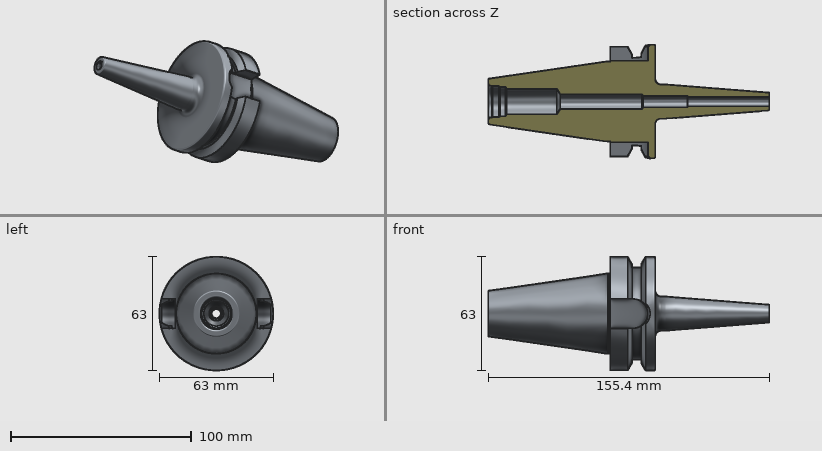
import cadquery as cq
import math


GAUGE_RADIUS = 44.45 / 2
TAPER_LENGTH = 65.4
TAPER_SLOPE = 7 / 48
SHANK_END_FILLET = 0.8

COLLAR_END = 0.8
RELIEF_RADIUS = 22.1
RELIEF_END = 1.5

FLANGE_RADIUS = 31.5
FLANGE_START = 2.0
FLANGE_END = 27.0
FLANGE_FILLET = 1.0
GROOVE_CENTER = 16.6
GROOVE_MOUTH_WIDTH = 9.9
GROOVE_FLOOR_WIDTH = 5.0
GROOVE_FLOOR_RADIUS = 25.6
GROOVE_WALL_ANGLE = 30.0

NECK_RADIUS = 9.55
NECK_FILLET = 3.0
NECK_END = 32.5
NOSE_END = 90.0
NOSE_TIP_RADIUS = 5.0
NOSE_FILLET = 0.6

SLOT_WIDTH = 16.2
SLOT_FLOOR = 22.6
SLOT_END = 22.8
SLOT_CHAMFER_START = 30.2

MOUTH_FILLET = 1.4
MOUTH_RADIUS = 8.7
MOUTH_DEPTH = 2.1
COUNTERBORE_RADIUS = 8.5
COUNTERBORE_DEPTH = 5.8
PILOT_RADIUS = 8.0
PILOT_DEPTH = 9.5
THREAD_RADIUS = 6.9
THREAD_DEPTH = 38.0
DRILL_HALF_ANGLE = 59.0
STEP_HALF_ANGLE = 30.0
CHANNEL_RADIUS = 4.0
CHANNEL_DEPTH = 85.0
SCREW_RADIUS = 3.0
SCREW_DEPTH = 110.0
THROUGH_RADIUS = 2.5


def make_body():
    """Revolve the outer profile, without the key slots and the bore."""
    groove_mouth_left = GROOVE_CENTER - GROOVE_MOUTH_WIDTH / 2
    groove_mouth_right = GROOVE_CENTER + GROOVE_MOUTH_WIDTH / 2
    groove_floor_left = GROOVE_CENTER - GROOVE_FLOOR_WIDTH / 2
    groove_floor_right = GROOVE_CENTER + GROOVE_FLOOR_WIDTH / 2
    wall_run = (GROOVE_MOUTH_WIDTH - GROOVE_FLOOR_WIDTH) / 2
    wall_foot = FLANGE_RADIUS - wall_run / math.tan(math.radians(GROOVE_WALL_ANGLE))
    shank_end_radius = GAUGE_RADIUS - TAPER_SLOPE * TAPER_LENGTH
    fillet_center = (FLANGE_END + NECK_FILLET, NECK_RADIUS + NECK_FILLET)
    fillet_reach = NECK_FILLET * math.sqrt(0.5)

    profile = (
        cq.Workplane("XY")
        .moveTo(-TAPER_LENGTH, 0)
        .lineTo(-TAPER_LENGTH, shank_end_radius)
        .lineTo(0, GAUGE_RADIUS)
        .lineTo(COLLAR_END, GAUGE_RADIUS)
        .lineTo(COLLAR_END, RELIEF_RADIUS)
        .lineTo(RELIEF_END, RELIEF_RADIUS)
        .lineTo(RELIEF_END, GAUGE_RADIUS)
        .lineTo(FLANGE_START, GAUGE_RADIUS)
        .lineTo(FLANGE_START, FLANGE_RADIUS)
        .lineTo(groove_mouth_left, FLANGE_RADIUS)
        .lineTo(groove_floor_left, wall_foot)
        .lineTo(groove_floor_left, GROOVE_FLOOR_RADIUS)
        .lineTo(groove_floor_right, GROOVE_FLOOR_RADIUS)
        .lineTo(groove_floor_right, wall_foot)
        .lineTo(groove_mouth_right, FLANGE_RADIUS)
        .lineTo(FLANGE_END, FLANGE_RADIUS)
        .lineTo(FLANGE_END, NECK_RADIUS + NECK_FILLET)
        .threePointArc(
            (fillet_center[0] - fillet_reach, fillet_center[1] - fillet_reach),
            (FLANGE_END + NECK_FILLET, NECK_RADIUS),
        )
        .lineTo(NECK_END, NECK_RADIUS)
        .lineTo(NOSE_END, NOSE_TIP_RADIUS)
        .lineTo(NOSE_END, 0)
        .close()
    )
    return profile.revolve(360, (0, 0, 0), (1, 0, 0))


def round_outer_edge(body, x, radius, fillet):
    """Fillet the circular edge of the given radius in the plane at x."""
    reach = 0.1
    edge_box = cq.selectors.BoxSelector(
        (x - reach, -radius - reach, -radius - reach),
        (x + reach, radius + reach, radius + reach),
        boundingbox=True,
    )
    outermost = cq.selectors.RadiusNthSelector(-1)
    return body.newObject(body.edges(edge_box).edges(outermost).vals()).fillet(fillet)


def make_drive_slot():
    """Round-ended slot on the +Y side, its mouth widened by a 45 degree chamfer."""
    half_width = SLOT_WIDTH / 2
    arc_center = SLOT_END - half_width
    slot_depth = FLANGE_RADIUS - SLOT_FLOOR
    chamfer_depth = FLANGE_RADIUS - SLOT_CHAMFER_START

    slot = (
        cq.Workplane("XZ", origin=(0, SLOT_FLOOR, 0))
        .moveTo(0, -half_width)
        .lineTo(arc_center, -half_width)
        .threePointArc((SLOT_END, 0), (arc_center, half_width))
        .lineTo(0, half_width)
        .close()
        .extrude(-slot_depth)
    )
    straight_chamfer = (
        cq.Workplane("YZ")
        .moveTo(SLOT_CHAMFER_START, -half_width)
        .lineTo(FLANGE_RADIUS, -half_width - chamfer_depth)
        .lineTo(FLANGE_RADIUS, half_width + chamfer_depth)
        .lineTo(SLOT_CHAMFER_START, half_width)
        .close()
        .extrude(arc_center)
    )
    end_chamfer = cq.Workplane(
        cq.Solid.makeCone(
            half_width,
            half_width + chamfer_depth,
            chamfer_depth,
            pnt=(arc_center, SLOT_CHAMFER_START, 0),
            dir=(0, 1, 0),
        )
    )
    return slot.union(straight_chamfer).union(end_chamfer)


def make_bore():
    """Stepped bore running through the whole holder."""
    mouth = -TAPER_LENGTH
    fillet_sag = MOUTH_FILLET * (1 - math.sqrt(0.5))
    profile = (
        cq.Workplane("XY")
        .moveTo(mouth, 0)
        .lineTo(mouth, MOUTH_RADIUS + MOUTH_FILLET)
        .threePointArc(
            (mouth + fillet_sag, MOUTH_RADIUS + fillet_sag),
            (mouth + MOUTH_FILLET, MOUTH_RADIUS),
        )
    )

    steps = [
        (MOUTH_DEPTH, MOUTH_RADIUS, COUNTERBORE_RADIUS, STEP_HALF_ANGLE),
        (COUNTERBORE_DEPTH, COUNTERBORE_RADIUS, PILOT_RADIUS, STEP_HALF_ANGLE),
        (PILOT_DEPTH, PILOT_RADIUS, THREAD_RADIUS, DRILL_HALF_ANGLE),
        (THREAD_DEPTH, THREAD_RADIUS, CHANNEL_RADIUS, DRILL_HALF_ANGLE),
        (CHANNEL_DEPTH, CHANNEL_RADIUS, SCREW_RADIUS, DRILL_HALF_ANGLE),
        (SCREW_DEPTH, SCREW_RADIUS, THROUGH_RADIUS, DRILL_HALF_ANGLE),
    ]
    for depth, radius, next_radius, half_angle in steps:
        cone_length = (radius - next_radius) / math.tan(math.radians(half_angle))
        profile = profile.lineTo(mouth + depth, radius)
        profile = profile.lineTo(mouth + depth + cone_length, next_radius)

    profile = profile.lineTo(NOSE_END, THROUGH_RADIUS).lineTo(NOSE_END, 0).close()
    return profile.revolve(360, (0, 0, 0), (1, 0, 0))


body = make_body()
body = round_outer_edge(body, -TAPER_LENGTH, GAUGE_RADIUS, SHANK_END_FILLET)
body = round_outer_edge(body, FLANGE_END, FLANGE_RADIUS, FLANGE_FILLET)
body = round_outer_edge(body, NOSE_END, NOSE_TIP_RADIUS, NOSE_FILLET)

drive_slot = make_drive_slot()
for turn in (0, 180):
    body = body.cut(drive_slot.rotate((0, 0, 0), (1, 0, 0), turn))

result = body.cut(make_bore())